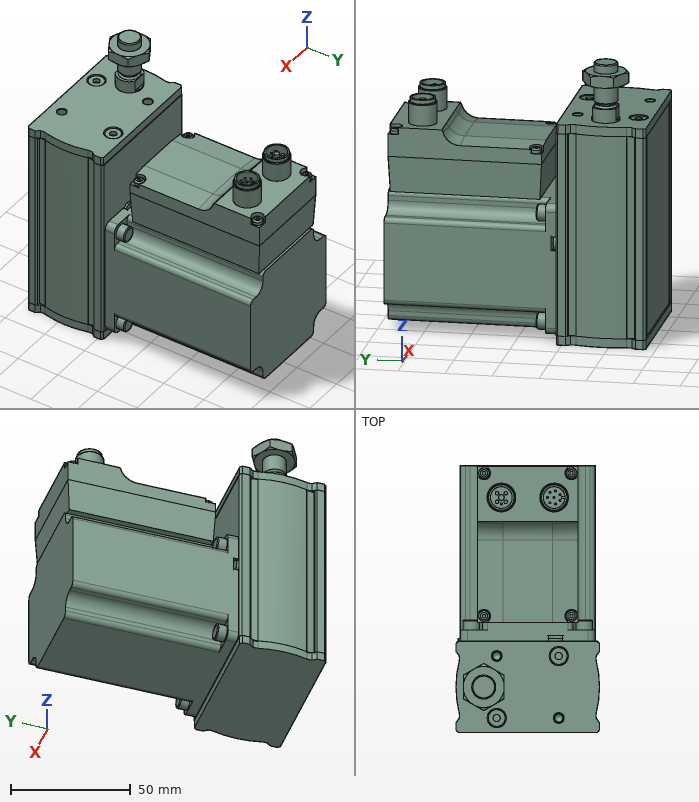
import cadquery as cq
import math


HOUSING_WIDTH = 60.0
HOUSING_HEIGHT = 96.0
CAP_DEPTH = 38.0
CAP_THICKNESS = 4.0
PROFILE_DEPTH = 38.2
CORNER_CHAMFER = 1.0
PANEL_WIDTH = 52.0
PANEL_RECESS = 0.6
HALF_WIDTH = HOUSING_WIDTH / 2
MIDDLE_Y = CAP_DEPTH / 2
PROFILE_TOP = HOUSING_HEIGHT - CAP_THICKNESS

RIM_END = 4.1
CAP_WAIST_START = 5.9
WAIST_END = 8.2
WAIST_INSET = 1.3
WAIST_HOLLOW = 0.1
GROOVE_START = 4.8
GROOVE_MOUTH_DEPTH = 0.7
GROOVE_DEPTH = 2.2
GROOVE_END_DEPTH = 1.7

CAP_HOLE_OFFSET = 13.0
CAP_BORE_DIAMETER = 8.0
CAP_BORE_DEPTH = 3.0
CAP_HEAD_DIAMETER = 7.0
CAP_HEAD_DROP = 0.4
CAP_SOCKET_DIAMETER = 3.0
CAP_SOCKET_DEPTH = 1.8
THREAD_DIAMETER = 4.0
THREAD_DEPTH = 7.3
THREAD_MOUTH_DIAMETER = 4.5
DRILL_DIAMETER = 3.3
DRILL_DEPTH = 9.1
DRILL_TIP_ANGLE = 118.0

ROD_X = -18.4
ROD_TOP = 121.0
ROD_DIAMETER = 10.0
ROD_CHAMFER = 0.5
COLLAR_DIAMETER = 12.0
COLLAR_TOP = 101.9
FLATS_WIDTH = 10.0
FLATS_BOTTOM = 96.7
NECK_DIAMETER = 8.0
NECK_BASE_DIAMETER = 9.5
NECK_BOTTOM = 102.7
NECK_TOP = 103.3
THREAD_START = 104.2
NUT_ACROSS_FLATS = 17.1
NUT_BOTTOM = 111.9
NUT_HEIGHT = 5.2
NUT_CROWN_DIAMETER = 17.2
NUT_CROWN_DROP = 0.6

MOTOR_WIDTH = 56.5
MOTOR_HALF = MOTOR_WIDTH / 2
MOTOR_BOTTOM = 3.6
MOTOR_Z = MOTOR_BOTTOM + MOTOR_HALF
MOTOR_TOP = MOTOR_BOTTOM + MOTOR_WIDTH
MOTOR_REAR = 111.5
FLANGE_REAR = 42.8
FLANGE_CORNER_RADIUS = 3.0
RIDGE_RADIUS = 2.2
CHANNEL_CENTRE = 4.2
CHANNEL_RADIUS = 5.1
MOTOR_SCREW_OFFSET = 23.6
MOTOR_SCREW_DIAMETER = 7.0
MOTOR_SCREW_LENGTH = 4.2
MOTOR_SCREW_CHAMFER = 0.5

BORE_OFFSET = 11.6
BORE_INSET = 2.7
BORE_DIAMETER = 8.0
BORE_DEPTH = 2.2
PLUG_DIAMETER = 7.0
PLUG_HEIGHT = 1.1
FLANGE_BORE_PLACES = [
    (BORE_OFFSET, MOTOR_TOP - BORE_INSET),
    (-MOTOR_HALF + BORE_INSET, MOTOR_Z + BORE_OFFSET),
]

CASE_WIDTH = 42.1
CASE_HALF = CASE_WIDTH / 2
CASE_FRONT = 45.9
CASE_REAR = 111.1
CASE_SEAM_Z = 75.6
CASE_TAPER = 3.0
COVER_TOP = 88.3
STEP_Y = 88.2
STEP_END_Y = 80.5
FLAT_HALF_WIDTH = 10.4
FLAT_Z = 83.1
EDGE_Z = 81.9
FLAT_STEP_ARC_START = (87.1, 86.5)
EDGE_STEP_ARC_START = (87.7, 87.6)

COVER_SCREW_X = 18.3
COVER_SCREW_FRONT_Y = 48.6
COVER_SCREW_REAR_Y = 108.3
COVER_POCKET_DIAMETER = 5.5
COVER_POCKET_CORNER = 4.4
COVER_POCKET_DEPTH = 3.0
COVER_HEAD_DIAMETER = 4.5
COVER_HEAD_HEIGHT = 2.0
COVER_HEAD_CHAMFER = 0.7
COVER_SOCKET_DIAMETER = 1.5
COVER_SOCKET_DEPTH = 1.0

CONNECTOR_X = 11.0
CONNECTOR_Y = 98.1
CONNECTOR_DIAMETER = 12.0
CONNECTOR_SHOULDER_Z = 97.6
CONNECTOR_CHAMFER = 0.4
CONNECTOR_RIM_DIAMETER = 10.6
CONNECTOR_TOP = 99.3
CONNECTOR_BORE_DIAMETER = 9.1
CONNECTOR_BORE_DEPTH = 5.5
PIN_HEIGHT = 3.6
POST_HEIGHT = 4.6
POST_DIAMETER = 2.4
POWER_KEY_DIAMETER = 0.8
POWER_KEY_OFFSET = 2.7
POWER_PIN_DIAMETER = 1.5
POWER_PIN_OFFSET = 1.8
SIGNAL_PIN_DIAMETER = 0.8
SIGNAL_PIN_RADIUS = 2.8
SIGNAL_PIN_COUNT = 7
KEY_WIDTH = 1.0
KEY_INNER_RADIUS = 3.1
CONNECTOR_FLOOR = CONNECTOR_TOP - CONNECTOR_BORE_DEPTH
PIN_TOP = CONNECTOR_FLOOR + PIN_HEIGHT


def cylinder(diameter, x, y, bottom, top):
    """Upright cylinder between two heights."""
    return cq.Workplane("XY", origin=(x, y, bottom)).circle(diameter / 2).extrude(top - bottom)


def cylinder_along_y(diameter, x, z, front, rear):
    """Cylinder along Y between two depths."""
    plane = cq.Plane(origin=(x, front, z), xDir=(1, 0, 0), normal=(0, 1, 0))
    return cq.Workplane(plane).circle(diameter / 2).extrude(rear - front)


def block(x_min, x_max, y_min, y_max, z_min, z_max):
    """Box between two corners."""
    size = (x_max - x_min, y_max - y_min, z_max - z_min)
    return cq.Workplane("XY", origin=(x_min, y_min, z_min)).box(*size, centered=False)


WAIST_X = -HALF_WIDTH + WAIST_INSET
CAP_HOLE_FRONT_Y = MIDDLE_Y - CAP_HOLE_OFFSET
CAP_HOLE_REAR_Y = MIDDLE_Y + CAP_HOLE_OFFSET
CAP_SCREW_PLACES = [(-CAP_HOLE_OFFSET, CAP_HOLE_FRONT_Y), (CAP_HOLE_OFFSET, CAP_HOLE_REAR_Y)]
THREAD_PLACES = [(-CAP_HOLE_OFFSET, CAP_HOLE_REAR_Y), (CAP_HOLE_OFFSET, CAP_HOLE_FRONT_Y)]


def cap_plate(bottom):
    """End cap with bulged sides and a shallow hollow at each side of the bulge."""
    rear = CAP_DEPTH
    hollow_y = (CAP_WAIST_START + WAIST_END) / 2
    hollow_x = WAIST_X + WAIST_HOLLOW
    left_half = (
        cq.Workplane("XY", origin=(0, 0, bottom))
        .moveTo(0, 0)
        .lineTo(-HALF_WIDTH + CORNER_CHAMFER, 0)
        .lineTo(-HALF_WIDTH, CORNER_CHAMFER)
        .lineTo(-HALF_WIDTH, RIM_END)
        .lineTo(WAIST_X, CAP_WAIST_START)
        .threePointArc((hollow_x, hollow_y), (WAIST_X, WAIST_END))
        .threePointArc((-HALF_WIDTH, MIDDLE_Y), (WAIST_X, rear - WAIST_END))
        .threePointArc((hollow_x, rear - hollow_y), (WAIST_X, rear - CAP_WAIST_START))
        .lineTo(-HALF_WIDTH, rear - RIM_END)
        .lineTo(-HALF_WIDTH, rear - CORNER_CHAMFER)
        .lineTo(-HALF_WIDTH + CORNER_CHAMFER, rear)
        .lineTo(0, rear)
    )
    return left_half.mirrorY().extrude(CAP_THICKNESS).clean()


def threaded_hole(x, y):
    """Cutter for a blind threaded hole with a countersunk mouth and a drill-point end."""
    top = HOUSING_HEIGHT
    mouth_depth = (THREAD_MOUTH_DIAMETER - THREAD_DIAMETER) / 2
    tip = DRILL_DIAMETER / 2 / math.tan(math.radians(DRILL_TIP_ANGLE / 2))
    half_section = (
        cq.Workplane("XZ", origin=(x, y, 0))
        .moveTo(0, top)
        .lineTo(THREAD_MOUTH_DIAMETER / 2, top)
        .lineTo(THREAD_DIAMETER / 2, top - mouth_depth)
        .lineTo(THREAD_DIAMETER / 2, top - THREAD_DEPTH)
        .lineTo(DRILL_DIAMETER / 2, top - THREAD_DEPTH)
        .lineTo(DRILL_DIAMETER / 2, top - DRILL_DEPTH)
        .lineTo(0, top - DRILL_DEPTH - tip)
        .close()
    )
    return half_section.revolve(360, (0, 0, 0), (0, 1, 0))


def make_top_cap():
    """Top cap with two sunk screw heads, two threaded holes and the rod opening."""
    cap = cap_plate(PROFILE_TOP)
    bore_floor = HOUSING_HEIGHT - CAP_BORE_DEPTH
    head_top = HOUSING_HEIGHT - CAP_HEAD_DROP
    for x, y in CAP_SCREW_PLACES:
        cap = cap.cut(cylinder(CAP_BORE_DIAMETER, x, y, bore_floor, HOUSING_HEIGHT))
        cap = cap.union(cylinder(CAP_HEAD_DIAMETER, x, y, bore_floor, head_top))
        cap = cap.cut(cylinder(CAP_SOCKET_DIAMETER, x, y, head_top - CAP_SOCKET_DEPTH, head_top))
    for x, y in THREAD_PLACES:
        cap = cap.cut(threaded_hole(x, y))
    return cap.cut(cylinder(COLLAR_DIAMETER, ROD_X, MIDDLE_Y, PROFILE_TOP, HOUSING_HEIGHT))


def make_bottom_cap():
    """Plain bottom cap."""
    return cap_plate(0)


def make_profile():
    """Housing profile with side grooves, a recessed front panel and screw heads at the rear."""
    edge = CAP_DEPTH
    rear = PROFILE_DEPTH
    mouth_x = -HALF_WIDTH + GROOVE_MOUTH_DEPTH
    groove_x = -HALF_WIDTH + GROOVE_DEPTH
    groove_end_x = -HALF_WIDTH + GROOVE_END_DEPTH
    left_half = (
        cq.Workplane("XY", origin=(0, 0, CAP_THICKNESS))
        .moveTo(0, PANEL_RECESS)
        .lineTo(-PANEL_WIDTH / 2, PANEL_RECESS)
        .lineTo(-PANEL_WIDTH / 2, 0)
        .lineTo(-HALF_WIDTH + CORNER_CHAMFER, 0)
        .lineTo(-HALF_WIDTH, CORNER_CHAMFER)
        .lineTo(-HALF_WIDTH, RIM_END)
        .lineTo(mouth_x, GROOVE_START)
        .lineTo(groove_x, GROOVE_START)
        .lineTo(groove_end_x, WAIST_END)
        .lineTo(WAIST_X, WAIST_END)
        .threePointArc((-HALF_WIDTH, MIDDLE_Y), (WAIST_X, edge - WAIST_END))
        .lineTo(groove_end_x, edge - WAIST_END)
        .lineTo(groove_x, edge - GROOVE_START)
        .lineTo(mouth_x, edge - GROOVE_START)
        .lineTo(-HALF_WIDTH, edge - RIM_END)
        .lineTo(-HALF_WIDTH, rear - CORNER_CHAMFER)
        .lineTo(-HALF_WIDTH + CORNER_CHAMFER, rear)
        .lineTo(0, rear)
    )
    profile = left_half.mirrorY().extrude(PROFILE_TOP - CAP_THICKNESS).clean()
    for x, y in THREAD_PLACES:
        profile = profile.cut(threaded_hole(x, y))
    for x, z in FLANGE_BORE_PLACES:
        profile = profile.union(cylinder_along_y(PLUG_DIAMETER, x, z, rear, rear + PLUG_HEIGHT))
    return profile


def make_rod():
    """Stepped rod with wrench flats on its collar, standing in the top cap."""
    collar_radius = COLLAR_DIAMETER / 2
    half_section = (
        cq.Workplane("XZ", origin=(ROD_X, MIDDLE_Y, 0))
        .moveTo(0, PROFILE_TOP)
        .lineTo(collar_radius, PROFILE_TOP)
        .lineTo(collar_radius, COLLAR_TOP)
        .lineTo(NECK_BASE_DIAMETER / 2, COLLAR_TOP)
        .lineTo(NECK_DIAMETER / 2, NECK_BOTTOM)
        .lineTo(NECK_DIAMETER / 2, NECK_TOP)
        .lineTo(ROD_DIAMETER / 2, THREAD_START)
        .lineTo(ROD_DIAMETER / 2, ROD_TOP - ROD_CHAMFER)
        .lineTo(ROD_DIAMETER / 2 - ROD_CHAMFER, ROD_TOP)
        .lineTo(0, ROD_TOP)
        .close()
    )
    rod = half_section.revolve(360, (0, 0, 0), (0, 1, 0))
    for side in (-1, 1):
        flat_centre = MIDDLE_Y + side * FLATS_WIDTH
        rod = rod.cut(
            block(
                ROD_X - collar_radius,
                ROD_X + collar_radius,
                flat_centre - FLATS_WIDTH / 2,
                flat_centre + FLATS_WIDTH / 2,
                FLATS_BOTTOM,
                COLLAR_TOP,
            )
        )
    return rod


def make_nut():
    """Hexagon nut with crowned corners, two flats facing along X."""
    corner_diameter = NUT_ACROSS_FLATS / math.cos(math.radians(30))
    hexagon = (
        cq.Workplane("XY", origin=(ROD_X, MIDDLE_Y, NUT_BOTTOM))
        .transformed(rotate=(0, 0, 30))
        .polygon(6, corner_diameter)
        .extrude(NUT_HEIGHT)
    )
    top = NUT_BOTTOM + NUT_HEIGHT
    crown = (
        cq.Workplane("XZ", origin=(ROD_X, MIDDLE_Y, 0))
        .moveTo(0, NUT_BOTTOM)
        .lineTo(NUT_CROWN_DIAMETER / 2, NUT_BOTTOM)
        .lineTo(corner_diameter / 2, NUT_BOTTOM + NUT_CROWN_DROP)
        .lineTo(corner_diameter / 2, top - NUT_CROWN_DROP)
        .lineTo(NUT_CROWN_DIAMETER / 2, top)
        .lineTo(0, top)
        .close()
        .revolve(360, (0, 0, 0), (0, 1, 0))
    )
    return hexagon.intersect(crown).cut(cylinder(ROD_DIAMETER, ROD_X, MIDDLE_Y, NUT_BOTTOM, top))


def corner_channel():
    """Cutter for the lower left corner of the motor: two rounded ridges and a hollow for the screw."""
    ridge = RIDGE_RADIUS
    wall = CHANNEL_CENTRE + CHANNEL_RADIUS
    outer = wall + ridge
    arc_mid = CHANNEL_CENTRE + CHANNEL_RADIUS / math.sqrt(2)
    ridge_mid = ridge * (1 - 1 / math.sqrt(2))
    plane = cq.Plane(
        origin=(-MOTOR_HALF, FLANGE_REAR, MOTOR_BOTTOM), xDir=(0, 0, 1), normal=(0, 1, 0)
    )
    return (
        cq.Workplane(plane)
        .moveTo(0, 0)
        .lineTo(outer, 0)
        .threePointArc((wall + ridge_mid, ridge_mid), (wall, ridge))
        .lineTo(wall, CHANNEL_CENTRE)
        .threePointArc((arc_mid, arc_mid), (CHANNEL_CENTRE, wall))
        .lineTo(ridge, wall)
        .threePointArc((ridge_mid, wall + ridge_mid), (0, outer))
        .close()
        .extrude(MOTOR_REAR - FLANGE_REAR)
    )


def make_motor():
    """Square motor with a front flange, hollowed corners and four flange screw heads."""
    flange = block(-MOTOR_HALF, MOTOR_HALF, PROFILE_DEPTH, FLANGE_REAR, MOTOR_BOTTOM, MOTOR_TOP)
    flange = flange.edges("|Y").fillet(FLANGE_CORNER_RADIUS)
    motor = block(-MOTOR_HALF, MOTOR_HALF, FLANGE_REAR, MOTOR_REAR, MOTOR_BOTTOM, MOTOR_TOP)
    channel = corner_channel()
    axis_start = (0, 0, MOTOR_Z)
    axis_end = (0, 1, MOTOR_Z)
    for quarter in range(4):
        motor = motor.cut(channel.rotate(axis_start, axis_end, 90 * quarter))
    motor = motor.union(flange)
    for x, z in FLANGE_BORE_PLACES:
        motor = motor.cut(
            cylinder_along_y(BORE_DIAMETER, x, z, PROFILE_DEPTH, PROFILE_DEPTH + BORE_DEPTH)
        )
    head_rear = FLANGE_REAR + MOTOR_SCREW_LENGTH
    for x in (-MOTOR_SCREW_OFFSET, MOTOR_SCREW_OFFSET):
        for z in (MOTOR_Z - MOTOR_SCREW_OFFSET, MOTOR_Z + MOTOR_SCREW_OFFSET):
            head = cylinder_along_y(MOTOR_SCREW_DIAMETER, x, z, FLANGE_REAR, head_rear)
            motor = motor.union(head.faces(">Y").chamfer(MOTOR_SCREW_CHAMFER))
    return motor


def make_case_base():
    """Case base that narrows downwards from the cover to the motor."""
    depth = CASE_REAR - CASE_FRONT
    shrink = 2 * (CASE_SEAM_Z - MOTOR_TOP) * math.tan(math.radians(CASE_TAPER))
    return (
        cq.Workplane("XY", origin=(0, (CASE_FRONT + CASE_REAR) / 2, MOTOR_TOP))
        .rect(CASE_WIDTH - shrink, depth - shrink)
        .workplane(offset=CASE_SEAM_Z - MOTOR_TOP)
        .rect(CASE_WIDTH, depth)
        .loft(ruled=True)
    )


def cover_section(x, arc_start, low_z):
    """Closed YZ outline of the cover at x: a rear block, a step and a low front part."""
    start_y, start_z = arc_start
    run = start_y - STEP_END_Y
    drop = start_z - low_z
    turn = 2 * math.atan2(drop, run)
    radius = run / math.sin(turn)
    mid_point = (
        STEP_END_Y + radius * math.sin(turn / 2),
        low_z + radius * (1 - math.cos(turn / 2)),
    )
    return (
        cq.Workplane("YZ", origin=(x, 0, 0))
        .moveTo(CASE_FRONT, CASE_SEAM_Z)
        .lineTo(CASE_REAR, CASE_SEAM_Z)
        .lineTo(CASE_REAR, COVER_TOP)
        .lineTo(STEP_Y, COVER_TOP)
        .lineTo(start_y, start_z)
        .threePointArc(mid_point, (STEP_END_Y, low_z))
        .lineTo(CASE_FRONT, low_z)
        .close()
    )


def cover_body():
    """Cover with a level middle strip and low parts that slope down towards both sides."""
    middle = cover_section(-FLAT_HALF_WIDTH, FLAT_STEP_ARC_START, FLAT_Z)
    cover = middle.extrude(2 * FLAT_HALF_WIDTH)
    for side in (-1, 1):
        inner = cover_section(side * FLAT_HALF_WIDTH, FLAT_STEP_ARC_START, FLAT_Z).val()
        outer = cover_section(side * CASE_HALF, EDGE_STEP_ARC_START, EDGE_Z).val()
        cover = cover.union(cq.Workplane(cq.Solid.makeLoft([inner, outer], True)))
    return cover


def add_cover_screw(cover, side, y, case_end, surface_z):
    """Corner pocket with a screw head standing on its floor."""
    x = side * COVER_SCREW_X
    floor = surface_z - COVER_POCKET_DEPTH
    head_top = floor + COVER_HEAD_HEIGHT
    corner = cq.Workplane("XY", origin=(side * CASE_HALF, case_end, floor))
    corner = corner.rect(2 * COVER_POCKET_CORNER, 2 * COVER_POCKET_CORNER)
    cover = cover.cut(corner.extrude(COVER_POCKET_DEPTH))
    cover = cover.cut(cylinder(COVER_POCKET_DIAMETER, x, y, floor, surface_z))
    head = cylinder(COVER_HEAD_DIAMETER, x, y, floor, head_top)
    cover = cover.union(head.faces(">Z").chamfer(COVER_HEAD_CHAMFER))
    return cover.cut(cylinder(COVER_SOCKET_DIAMETER, x, y, head_top - COVER_SOCKET_DEPTH, head_top))


def connector_shell(x):
    """Round connector with a narrower rim and an open socket."""
    shell = cylinder(CONNECTOR_DIAMETER, x, CONNECTOR_Y, COVER_TOP, CONNECTOR_SHOULDER_Z)
    shell = shell.faces(">Z").chamfer(CONNECTOR_CHAMFER)
    shell = shell.union(
        cylinder(CONNECTOR_RIM_DIAMETER, x, CONNECTOR_Y, COVER_TOP, CONNECTOR_TOP)
    )
    return shell.cut(
        cylinder(CONNECTOR_BORE_DIAMETER, x, CONNECTOR_Y, CONNECTOR_FLOOR, CONNECTOR_TOP)
    )


def power_connector():
    """Connector with four pins in a square around a thick post, and a thin key pin in front."""
    x = -CONNECTOR_X
    post_top = CONNECTOR_FLOOR + POST_HEIGHT
    pins = [(POWER_KEY_DIAMETER, 0, -POWER_KEY_OFFSET)]
    for dx in (-POWER_PIN_OFFSET, POWER_PIN_OFFSET):
        for dy in (-POWER_PIN_OFFSET, POWER_PIN_OFFSET):
            pins.append((POWER_PIN_DIAMETER, dx, dy))
    post = cylinder(POST_DIAMETER, x, CONNECTOR_Y, CONNECTOR_FLOOR, post_top)
    connector = connector_shell(x).union(post)
    for diameter, dx, dy in pins:
        pin = cylinder(diameter, x + dx, CONNECTOR_Y + dy, CONNECTOR_FLOOR, PIN_TOP)
        connector = connector.union(pin)
    return connector


def signal_connector():
    """Connector with a ring of pins around a middle pin and a key on its +X side."""
    x = CONNECTOR_X
    connector = connector_shell(x)
    pin_places = [(0, 0)]
    for index in range(SIGNAL_PIN_COUNT):
        angle = math.pi + 2 * math.pi * index / SIGNAL_PIN_COUNT
        pin_places.append((SIGNAL_PIN_RADIUS * math.cos(angle), SIGNAL_PIN_RADIUS * math.sin(angle)))
    for dx, dy in pin_places:
        pin = cylinder(SIGNAL_PIN_DIAMETER, x + dx, CONNECTOR_Y + dy, CONNECTOR_FLOOR, PIN_TOP)
        connector = connector.union(pin)
    key = block(
        x + KEY_INNER_RADIUS,
        x + CONNECTOR_RIM_DIAMETER / 2 - CONNECTOR_CHAMFER,
        CONNECTOR_Y - KEY_WIDTH / 2,
        CONNECTOR_Y + KEY_WIDTH / 2,
        CONNECTOR_FLOOR,
        PIN_TOP,
    )
    return connector.union(key)


def make_case_cover():
    """Case cover with four corner screws and two connectors."""
    cover = cover_body()
    for side in (-1, 1):
        cover = add_cover_screw(cover, side, COVER_SCREW_FRONT_Y, CASE_FRONT, FLAT_Z)
        cover = add_cover_screw(cover, side, COVER_SCREW_REAR_Y, CASE_REAR, COVER_TOP)
    return cover.union(power_connector()).union(signal_connector())


profile = make_profile()
top_cap = make_top_cap()
bottom_cap = make_bottom_cap()
rod = make_rod()
nut = make_nut()
motor = make_motor()
case_base = make_case_base()
case_cover = make_case_cover()

result = cq.Compound.makeCompound(
    [
        profile.val(),
        top_cap.val(),
        bottom_cap.val(),
        rod.val(),
        nut.val(),
        motor.val(),
        case_base.val(),
        case_cover.val(),
    ]
)